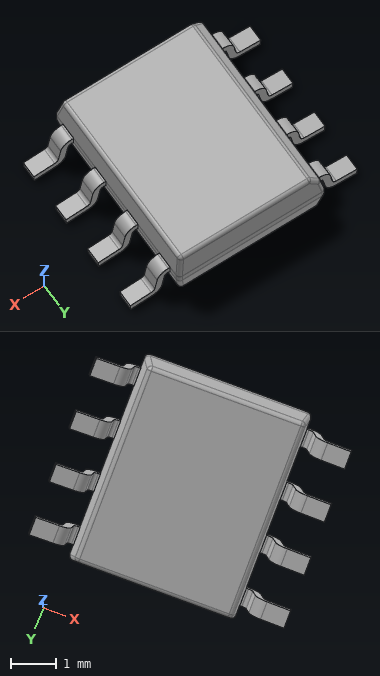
import cadquery as cq
import math


HOUSING_WIDTH = 3.915
HOUSING_LENGTH = 4.9
HOUSING_BOTTOM = 0.095
HOUSING_TOP = 1.57
DRAFT_ANGLE = 10.0
EDGE_RADIUS = 0.1
BEVEL_TOP_X = -1.63

LEADS_PER_SIDE = 4
LEAD_PITCH = 1.27
LEAD_WIDTH = 0.42
LEAD_THICKNESS = 0.2
LEAD_TOP = 0.92
LEAD_SPAN = 6.03
SHOULDER_LENGTH = 0.05
LEG_ANGLE = 10.0
FOOT_ANGLE = 4.0
INNER_BEND_RADIUS = 0.1
OUTER_BEND_RADIUS = INNER_BEND_RADIUS + LEAD_THICKNESS

BELT_TOP = LEAD_TOP
BELT_BOTTOM = LEAD_TOP - LEAD_THICKNESS


def polar(center, radius, angle):
    """Point in the XZ plane at an angle in degrees, measured from +X toward +Z."""
    x, z = center
    return (x + radius * math.cos(math.radians(angle)), z + radius * math.sin(math.radians(angle)))


def add_bend(outline, center, radius, start_angle, end_angle):
    """Continue the outline with an arc around center that begins at the outline's current point."""
    middle = polar(center, radius, (start_angle + end_angle) / 2)
    return outline.threePointArc(middle, polar(center, radius, end_angle))


def make_housing():
    belt = cq.Workplane("XY", origin=(0, 0, BELT_BOTTOM)).rect(HOUSING_WIDTH, HOUSING_LENGTH)
    body = belt.extrude(BELT_TOP - BELT_BOTTOM)
    body = body.faces(">Z").wires().toPending().workplane().extrude(HOUSING_TOP - BELT_TOP, taper=DRAFT_ANGLE)
    body = body.faces("<Z").wires().toPending().workplane().extrude(
        BELT_BOTTOM - HOUSING_BOTTOM, taper=DRAFT_ANGLE
    )

    bevel_size = BEVEL_TOP_X + HOUSING_WIDTH / 2
    bevel_cutter = (
        cq.Workplane("XZ")
        .polyline([
            (BEVEL_TOP_X, HOUSING_TOP),
            (BEVEL_TOP_X - bevel_size, HOUSING_TOP),
            (BEVEL_TOP_X - bevel_size, HOUSING_TOP - bevel_size),
        ])
        .close()
        .extrude(HOUSING_LENGTH / 2, both=True)
    )
    body = body.cut(bevel_cutter)

    belt_box = cq.selectors.BoxSelector(
        (-HOUSING_WIDTH, -HOUSING_LENGTH, BELT_BOTTOM - EDGE_RADIUS / 2),
        (HOUSING_WIDTH, HOUSING_LENGTH, BELT_TOP + EDGE_RADIUS / 2),
    )
    belt_creases = belt_box - cq.selectors.ParallelDirSelector(cq.Vector(0, 0, 1))
    return body.edges(cq.selectors.InverseSelector(belt_creases)).fillet(EDGE_RADIUS)


def lead_profile():
    """Closed gull-wing outline of a lead on the -X side, in the XZ plane."""
    wall_x = -HOUSING_WIDTH / 2
    tip_bottom = (-LEAD_SPAN / 2 + LEAD_THICKNESS * math.sin(math.radians(FOOT_ANGLE)), 0.0)

    up = 90.0
    leg_outward = 180.0 - LEG_ANGLE
    leg_inward = -LEG_ANGLE
    leg_down = 270.0 - LEG_ANGLE
    foot_up = 90.0 + FOOT_ANGLE
    foot_down = -90.0 + FOOT_ANGLE

    upper_center = (wall_x - SHOULDER_LENGTH, LEAD_TOP - OUTER_BEND_RADIUS)
    above_leg = polar(upper_center, OUTER_BEND_RADIUS + INNER_BEND_RADIUS, leg_outward)
    height_over_foot = (
        (above_leg[1] - tip_bottom[1]) * math.cos(math.radians(FOOT_ANGLE))
        - (above_leg[0] - tip_bottom[0]) * math.sin(math.radians(FOOT_ANGLE))
    )
    leg_to_foot_normal = math.radians(leg_down - 180.0 - foot_up)
    leg_length = (height_over_foot - OUTER_BEND_RADIUS) / math.cos(leg_to_foot_normal)
    lower_center = polar(above_leg, leg_length, leg_down)

    outline = cq.Workplane("XZ").moveTo(wall_x, LEAD_TOP).lineTo(*polar(upper_center, OUTER_BEND_RADIUS, up))
    outline = add_bend(outline, upper_center, OUTER_BEND_RADIUS, up, leg_outward)
    outline = outline.lineTo(*polar(lower_center, INNER_BEND_RADIUS, leg_inward))
    outline = add_bend(outline, lower_center, INNER_BEND_RADIUS, leg_inward, foot_down)
    outline = outline.lineTo(*polar(tip_bottom, LEAD_THICKNESS, foot_up)).lineTo(*tip_bottom)

    outline = outline.lineTo(*polar(lower_center, OUTER_BEND_RADIUS, foot_down))
    outline = add_bend(outline, lower_center, OUTER_BEND_RADIUS, foot_down, leg_inward)
    outline = outline.lineTo(*polar(upper_center, INNER_BEND_RADIUS, leg_outward))
    outline = add_bend(outline, upper_center, INNER_BEND_RADIUS, leg_outward, up)
    return outline.lineTo(wall_x, BELT_BOTTOM).close()


def make_leads():
    """Two mirrored rows of leads that end on the belt walls of the housing."""
    centered_lead = lead_profile().extrude(LEAD_WIDTH / 2, both=True)
    leads = []
    for index in range(LEADS_PER_SIDE):
        y = (index - (LEADS_PER_SIDE - 1) / 2) * LEAD_PITCH
        left_lead = centered_lead.translate((0, y, 0))
        leads.append(left_lead.val())
        leads.append(left_lead.mirror("YZ").val())
    return leads


housing = make_housing()
leads = make_leads()
result = cq.Compound.makeCompound([housing.val(), *leads])